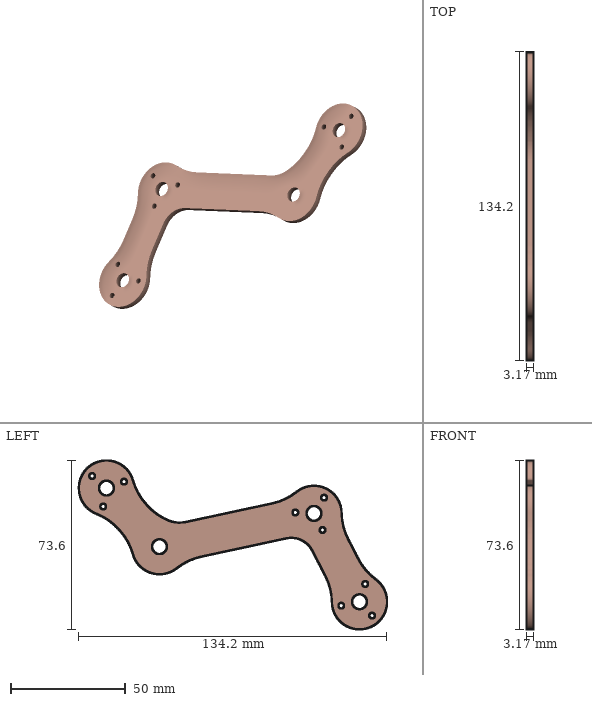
import math

import cadquery as cq


thickness = 3.17
pad_radius = 12.065
arm_half_width = 8.128
blend_radius = 25.4
corner_b_radius = 12.7
corner_c_radius = 10.16

length_ab = 34.365
length_bc = 2 * length_ab
length_cd = 43.22
angle_ba = 47.85
bend_at_b = 60
angle_cb = angle_ba - bend_at_b
angle_dc = 62.75

pivot_hole_diameter = 6.35
screw_hole_diameter = 2.38
screw_circle_radius = 8.128
screws_per_pad = 3
screw_angle_a = 40
screw_angle_c = angle_dc + 180
screw_angle_d = angle_cb


def moved(point, angle, distance):
    """Point shifted by a distance along a direction given in degrees."""
    radians = math.radians(angle)
    return (point[0] + distance * math.cos(radians), point[1] + distance * math.sin(radians))


def direction(start, end):
    """Angle in degrees of the line from start to end."""
    return math.degrees(math.atan2(end[1] - start[1], end[0] - start[0]))


chain_c = moved((0, 0), angle_dc, length_cd)
chain_b = moved(chain_c, angle_cb, length_bc)
chain_a = moved(chain_b, angle_ba, length_ab)
pivot_d = (-chain_a[0] / 2, -chain_a[1] / 2)
pivot_c = moved(pivot_d, angle_dc, length_cd)
pivot_b = moved(pivot_c, angle_cb, length_bc)
pivot_a = moved(pivot_b, angle_ba, length_ab)


def cylinders(centers, diameter):
    """Full-thickness cylinders at the given centres."""
    return cq.Workplane("YZ").pushPoints(centers).circle(diameter / 2).extrude(thickness / 2, both=True)


def arm(start, angle, length):
    """Straight bar from one pivot to the next."""
    middle = moved(start, angle, length / 2)
    return (
        cq.Workplane("YZ")
        .center(*middle)
        .transformed(rotate=(0, 0, angle))
        .rect(length, 2 * arm_half_width)
        .extrude(thickness / 2, both=True)
    )


def gusset(apex, arc_center, radius, start, end):
    """Wedge from a pivot out to a concave arc running from start to end."""
    chord_middle = ((start[0] + end[0]) / 2, (start[1] + end[1]) / 2)
    arc_middle = moved(arc_center, direction(arc_center, chord_middle), radius)
    return (
        cq.Workplane("YZ")
        .moveTo(*apex)
        .lineTo(*start)
        .threePointArc(arc_middle, end)
        .close()
        .extrude(thickness / 2, both=True)
    )


blend_reach = math.sqrt((pad_radius + blend_radius) ** 2 - (arm_half_width + blend_radius) ** 2)


def blend_center(pivot, arm_angle, side):
    """Centre of a pad blend; side is +1 to the left of the arm direction, -1 to the right."""
    on_axis = moved(pivot, arm_angle, blend_reach)
    return moved(on_axis, arm_angle + side * 90, arm_half_width + blend_radius)


def pad_blend(pivot, arm_angle, side):
    """Concave blend from a pad to one edge of the arm leaving it."""
    center = blend_center(pivot, arm_angle, side)
    on_pad = moved(pivot, direction(pivot, center), pad_radius)
    on_arm = moved(center, arm_angle - side * 90, blend_radius)
    return gusset(pivot, center, blend_radius, on_pad, on_arm)


def corner_blend_b():
    """Inside corner at B: tangent to the edge of arm BC and to the pad blend of arm BA."""
    angle_bc = angle_cb + 180
    outward = angle_bc - 90
    outer_center = blend_center(pivot_b, angle_ba, 1)
    offset_distance = math.dist(pivot_b, outer_center)
    offset_angle = math.radians(direction(pivot_b, outer_center) - angle_bc)
    along = offset_distance * math.cos(offset_angle)
    across = -offset_distance * math.sin(offset_angle)
    height = arm_half_width + corner_b_radius
    reach = along - math.sqrt((blend_radius - corner_b_radius) ** 2 - (height - across) ** 2)
    on_axis = moved(pivot_b, angle_bc, reach)
    center = moved(on_axis, outward, height)
    on_arm = moved(on_axis, outward, arm_half_width)
    on_blend = moved(center, direction(outer_center, center), corner_b_radius)
    return gusset(pivot_b, center, corner_b_radius, on_arm, on_blend)


def corner_blend_c():
    """Inside corner at C: tangent to the facing edges of arms CB and CD."""
    angle_cd = angle_dc - 180
    half_angle = (angle_cb - angle_cd) / 2
    height = arm_half_width + corner_c_radius
    center = moved(pivot_c, angle_cd + half_angle, height / math.sin(math.radians(half_angle)))
    on_arm_cb = moved(center, angle_cb + 90, corner_c_radius)
    on_arm_cd = moved(center, angle_cd - 90, corner_c_radius)
    return gusset(pivot_c, center, corner_c_radius, on_arm_cb, on_arm_cd)


def screw_centers(pivot, first_angle):
    """Evenly spaced screw positions around a pivot."""
    step = 360 / screws_per_pad
    return [moved(pivot, first_angle + i * step, screw_circle_radius) for i in range(screws_per_pad)]


pivots = [pivot_a, pivot_b, pivot_c, pivot_d]
plate = cylinders(pivots, 2 * pad_radius)
plate = plate.union(arm(pivot_b, angle_ba, length_ab))
plate = plate.union(arm(pivot_c, angle_cb, length_bc))
plate = plate.union(arm(pivot_d, angle_dc, length_cd))

pad_blends = [
    (pivot_a, angle_ba + 180, 1),
    (pivot_a, angle_ba + 180, -1),
    (pivot_b, angle_ba, 1),
    (pivot_b, angle_ba, -1),
    (pivot_b, angle_cb + 180, 1),
    (pivot_c, angle_cb, 1),
    (pivot_c, angle_dc + 180, -1),
    (pivot_d, angle_dc, 1),
    (pivot_d, angle_dc, -1),
]
for pivot, arm_angle, side in pad_blends:
    plate = plate.union(pad_blend(pivot, arm_angle, side))
plate = plate.union(corner_blend_b()).union(corner_blend_c()).clean()

screws = (
    screw_centers(pivot_a, screw_angle_a)
    + screw_centers(pivot_c, screw_angle_c)
    + screw_centers(pivot_d, screw_angle_d)
)
plate = plate.cut(cylinders(pivots, pivot_hole_diameter))
result = plate.cut(cylinders(screws, screw_hole_diameter))